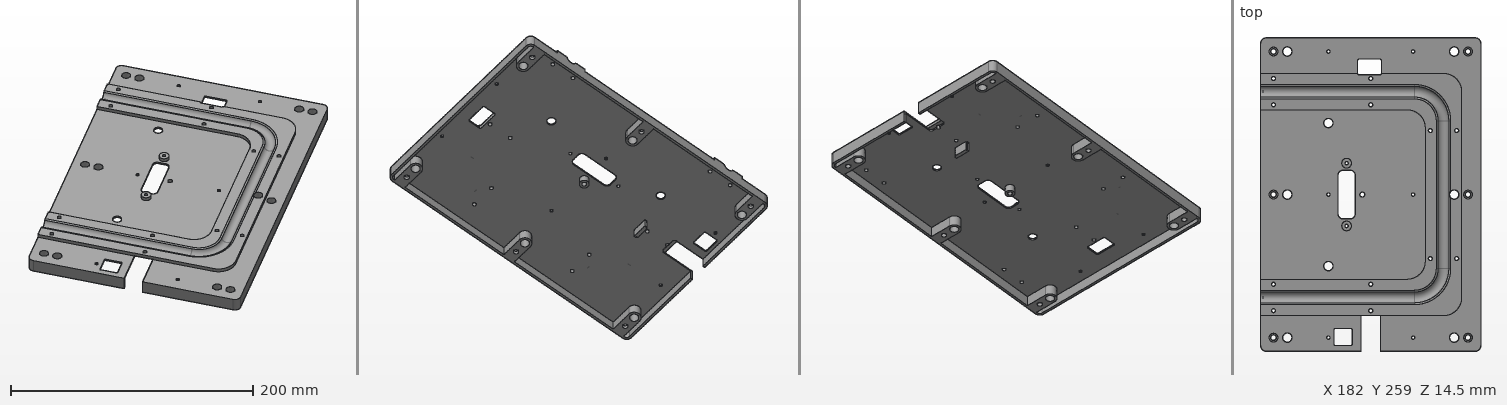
import cadquery as cq

LENGTH_X = 182.0
LENGTH_Y = 259.0
BASE_HEIGHT = 11.5
PAD_HEIGHT = 3.0
CORNER_RADIUS = 5.0
SKIRT_WALL = 2.0
PLATE_THICKNESS = 1.5
TOTAL_HEIGHT = BASE_HEIGHT + PAD_HEIGHT
PLATE_UNDERSIDE = BASE_HEIGHT - PLATE_THICKNESS
LEFT_EDGE = -LENGTH_X / 2
FRONT_EDGE = -LENGTH_Y / 2

GROOVE_LINE_X = 60.0
GROOVE_LINE_Y = 85.0
GROOVE_BEND_RADIUS = 24.0
PAD_HALF_WIDTH = 15.0
PAD_CORNER_RADIUS = 15.0

GROOVE_HALF_WIDTH = 4.5
GROOVE_DEPTH = 4.0
BEVEL_WIDTH = 1.5
BEVEL_DEPTH = 0.5

FIXING_X = 80.3
FIXING_DIAMETER = 4.5
FIXING_RECESS_DIAMETER = 7.3
FIXING_RECESS_DEPTH = 7.8
LOCATING_X = 69.0
LARGE_HOLE_DIAMETER = 7.5
FIXING_ROW_Y = 118.0
FIXING_ROWS = (-FIXING_ROW_Y, 0, FIXING_ROW_Y)
PILLAR_DIAMETER = 11.5
SMALL_HOLE_X = 35.0
SMALL_HOLE_DIAMETER = 2.5
INNER_LARGE_HOLE_Y = 59.0
PAD_HOLE_DIAMETER = 3.0
PAD_HOLE_OFFSET = 11.0
PAD_HOLE_SIDE_Y = 52.8

SLOT_X = -20.0
SLOT_WIDTH = 14.0
SLOT_LENGTH = 40.0
SLOT_CORNER_RADIUS = 4.0
COLLAR_Y = 26.0
COLLAR_DIAMETER = 8.0
CENTRE_HOLE_X = -7.0
CENTRE_HOLE_DIAMETER = 4.0
CENTRE_BOSS_DIAMETER = 8.0
CENTRE_BOSS_LENGTH = 8.0

WINDOW_CORNER_RADIUS = 1.0
BACK_WINDOW_CENTRE = (-1.0, 105.5)
BACK_WINDOW_SIZE = (19.5, 13.0)
FRONT_WINDOW_CENTRE = (-22.8, -117.5)
FRONT_WINDOW_SIZE = (15.0, 14.0)
NOTCH_WIDTH = 15.8
NOTCH_DEPTH = 33.2
NOTCH_CORNER_RADIUS = 2.0

BLOCK_X = -1.0
BLOCK_BACK_Y = -64.8
BLOCK_WIDTH = 14.0
BLOCK_FACE_WIDTH = 12.2
BLOCK_THICKNESS = 2.0
BLOCK_FACE_STEP = 1.0
BLOCK_BOTTOM = 1.0

fixing_points = [(x, y) for x in (-FIXING_X, FIXING_X) for y in FIXING_ROWS]
locating_points = [(x, y) for x in (-LOCATING_X, LOCATING_X) for y in FIXING_ROWS]
inner_large_points = [(-SMALL_HOLE_X, y) for y in (-INNER_LARGE_HOLE_Y, INNER_LARGE_HOLE_Y)]
small_hole_points = [(x, y) for x in (-SMALL_HOLE_X, SMALL_HOLE_X) for y in FIXING_ROWS]
collar_points = [(SLOT_X, -COLLAR_Y), (SLOT_X, COLLAR_Y)]
centre_point = [(CENTRE_HOLE_X, 0)]

pad_hole_points = []
for offset in (-PAD_HOLE_OFFSET, PAD_HOLE_OFFSET):
    for side in (-1, 1):
        pad_hole_points += [(x, side * (GROOVE_LINE_Y + offset)) for x in (-FIXING_X, 0)]
        pad_hole_points.append((GROOVE_LINE_X + offset, side * PAD_HOLE_SIDE_Y))


def box_between(x_range, y_range, z_range):
    """Box given by its lower and upper limit along each axis."""
    ranges = (x_range, y_range, z_range)
    sizes = [high - low for low, high in ranges]
    corner = tuple(low for low, high in ranges)
    return cq.Workplane("XY").box(*sizes, centered=False).translate(corner)


def rounded_opening(centre, size, radius):
    """Full-height rectangular cutter with rounded upright corners."""
    cutter = cq.Workplane("XY").rect(*size).extrude(TOTAL_HEIGHT).edges("|Z").fillet(radius)
    return cutter.translate((*centre, 0))


def cylinders(points, diameter, bottom, top):
    """Upright cylinders of one diameter at the given points."""
    plane = cq.Workplane("XY").workplane(offset=bottom)
    return plane.pushPoints(points).circle(diameter / 2).extrude(top - bottom)


def make_tray():
    tray = cq.Workplane("XY").rect(LENGTH_X, LENGTH_Y).extrude(BASE_HEIGHT)
    tray = tray.edges("|Z").fillet(CORNER_RADIUS)
    inner_size = (LENGTH_X - 2 * SKIRT_WALL, LENGTH_Y - 2 * SKIRT_WALL)
    hollow = cq.Workplane("XY").rect(*inner_size).extrude(PLATE_UNDERSIDE)
    hollow = hollow.edges("|Z").fillet(CORNER_RADIUS - SKIRT_WALL)
    return tray.cut(hollow)


def pad_layer(offset):
    """Pad-high slab whose edge lies the given distance outside the groove line."""
    half_y = GROOVE_LINE_Y + offset
    slab = box_between(
        (LEFT_EDGE, GROOVE_LINE_X + offset), (-half_y, half_y), (BASE_HEIGHT, TOTAL_HEIGHT)
    )
    return slab.edges("|Z and >X").fillet(PAD_CORNER_RADIUS)


def make_groove():
    """Cutter swept along the U-shaped groove line."""
    lip_y = GROOVE_HALF_WIDTH + BEVEL_WIDTH
    bevel_z = TOTAL_HEIGHT - BEVEL_DEPTH
    bottom_z = TOTAL_HEIGHT - GROOVE_DEPTH
    section = (
        cq.Workplane("YZ", origin=(LEFT_EDGE, -GROOVE_LINE_Y, 0))
        .moveTo(-lip_y, TOTAL_HEIGHT)
        .lineTo(-GROOVE_HALF_WIDTH, bevel_z)
        .threePointArc((0, bottom_z), (GROOVE_HALF_WIDTH, bevel_z))
        .lineTo(lip_y, TOTAL_HEIGHT)
        .close()
    )
    bend_x = GROOVE_LINE_X - GROOVE_BEND_RADIUS
    bend_y = GROOVE_LINE_Y - GROOVE_BEND_RADIUS
    path = (
        cq.Workplane("XY", origin=(0, 0, TOTAL_HEIGHT))
        .moveTo(LEFT_EDGE, -GROOVE_LINE_Y)
        .lineTo(bend_x, -GROOVE_LINE_Y)
        .tangentArcPoint((GROOVE_LINE_X, -bend_y), relative=False)
        .lineTo(GROOVE_LINE_X, bend_y)
        .tangentArcPoint((bend_x, GROOVE_LINE_Y), relative=False)
        .lineTo(LEFT_EDGE, GROOVE_LINE_Y)
    )
    return section.sweep(path)


def make_pillars():
    """Solid pillars around each pair of fixing and locating holes, joined to the skirt."""
    pillars = cylinders(locating_points, PILLAR_DIAMETER, 0, PLATE_UNDERSIDE)
    half_width = PILLAR_DIAMETER / 2
    skirt_x = LENGTH_X / 2 - SKIRT_WALL / 2
    for y in FIXING_ROWS:
        for x_range in ((-skirt_x, -LOCATING_X), (LOCATING_X, skirt_x)):
            web = box_between(x_range, (y - half_width, y + half_width), (0, PLATE_UNDERSIDE))
            pillars = pillars.union(web)
    return pillars


def block_layer(width, thickness):
    """Slab hanging from the plate, reaching forward from the back of the block."""
    return box_between(
        (BLOCK_X - width / 2, BLOCK_X + width / 2),
        (BLOCK_BACK_Y - thickness, BLOCK_BACK_Y),
        (BLOCK_BOTTOM, PLATE_UNDERSIDE),
    )


def make_block():
    """Hanging block with a narrower raised face toward the notch."""
    face = block_layer(BLOCK_FACE_WIDTH, BLOCK_THICKNESS + BLOCK_FACE_STEP)
    return block_layer(BLOCK_WIDTH, BLOCK_THICKNESS).union(face)


def make_notch():
    """Notch in the front edge; it runs on a little way beneath the pad."""
    notch = box_between(
        (-NOTCH_WIDTH / 2, NOTCH_WIDTH / 2), (FRONT_EDGE, FRONT_EDGE + NOTCH_DEPTH), (0, BASE_HEIGHT)
    )
    return notch.edges("|Z and >Y").fillet(NOTCH_CORNER_RADIUS)


pad = pad_layer(PAD_HALF_WIDTH).cut(pad_layer(-PAD_HALF_WIDTH))
boss_bottom = BASE_HEIGHT - CENTRE_BOSS_LENGTH
result = (
    make_tray()
    .union(make_pillars())
    .union(pad)
    .union(make_block())
    .union(cylinders(collar_points, COLLAR_DIAMETER, PLATE_UNDERSIDE, TOTAL_HEIGHT))
    .union(cylinders(centre_point, CENTRE_BOSS_DIAMETER, boss_bottom, BASE_HEIGHT))
)

result = (
    result.cut(make_groove())
    .cut(make_notch())
    .cut(rounded_opening((SLOT_X, 0), (SLOT_WIDTH, SLOT_LENGTH), SLOT_CORNER_RADIUS))
    .cut(rounded_opening(BACK_WINDOW_CENTRE, BACK_WINDOW_SIZE, WINDOW_CORNER_RADIUS))
    .cut(rounded_opening(FRONT_WINDOW_CENTRE, FRONT_WINDOW_SIZE, WINDOW_CORNER_RADIUS))
)

for points, diameter in (
    (fixing_points, FIXING_DIAMETER),
    (locating_points + inner_large_points, LARGE_HOLE_DIAMETER),
    (small_hole_points + collar_points, SMALL_HOLE_DIAMETER),
    (pad_hole_points, PAD_HOLE_DIAMETER),
    (centre_point, CENTRE_HOLE_DIAMETER),
):
    result = result.cut(cylinders(points, diameter, 0, TOTAL_HEIGHT))

recess_floor = BASE_HEIGHT - FIXING_RECESS_DEPTH
result = result.cut(cylinders(fixing_points, FIXING_RECESS_DIAMETER, recess_floor, TOTAL_HEIGHT))